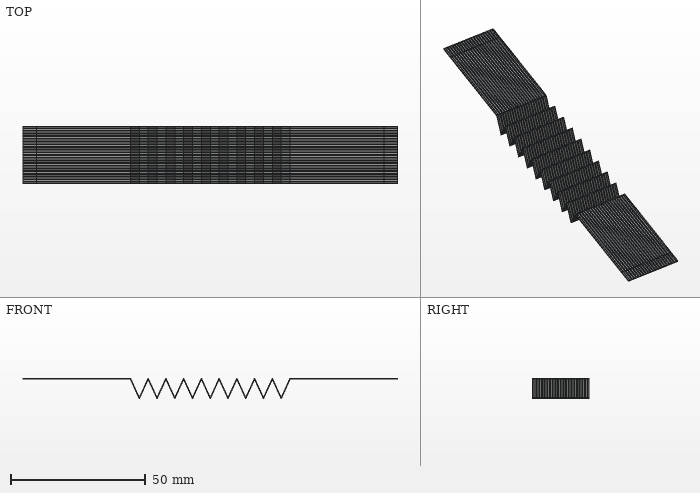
import cadquery as cq

LENGTH = 139.4
WIDTH = 21.0
HEIGHT = 7.5
THICKNESS = 0.32
FLAT_LENGTH = 40.0
FOLD_COUNT = 9

COVER_THICKNESS = 0.05
STRIPPED_LENGTH = 5.0

TRACK_COUNT = 20
TRACK_DEPTH = 0.05
TRACK_WIDTH = 0.7
TRACK_PITCH = WIDTH / (TRACK_COUNT + 1)

FOLD_DEPTH = HEIGHT - THICKNESS
HALF_FOLD = (LENGTH - 2 * FLAT_LENGTH) / (2 * FOLD_COUNT)


def folded_line(depth):
    """Points of the cable's path in XZ, lowered by `depth` below its top surface."""
    points = [(-LENGTH / 2, -depth)]
    for i in range(2 * FOLD_COUNT + 1):
        x = -LENGTH / 2 + FLAT_LENGTH + i * HALF_FOLD
        drop = FOLD_DEPTH if i % 2 else 0
        points.append((x, -drop - depth))
    points.append((LENGTH / 2, -depth))
    return points


def folded_layer(top_depth, bottom_depth, width, y=0):
    """Layer of the folded cable between two depths, centred on `y`."""
    outline = folded_line(top_depth) + folded_line(bottom_depth)[::-1]
    return (
        cq.Workplane("XZ", origin=(0, y, 0))
        .polyline(outline)
        .close()
        .extrude(width / 2, both=True)
    )


def stripped_end(side):
    """Cover removed from one end, down to the tops of the tracks; `side` is -1 or 1."""
    x = side * (LENGTH - STRIPPED_LENGTH) / 2
    return (
        cq.Workplane("XY")
        .box(STRIPPED_LENGTH, WIDTH, COVER_THICKNESS)
        .translate((x, 0, -COVER_THICKNESS / 2))
    )


cable = folded_layer(0, THICKNESS, WIDTH)

for side in (-1, 1):
    cable = cable.cut(stripped_end(side))

for i in range(TRACK_COUNT):
    track_y = (i - (TRACK_COUNT - 1) / 2) * TRACK_PITCH
    track = folded_layer(COVER_THICKNESS, COVER_THICKNESS + TRACK_DEPTH, TRACK_WIDTH, track_y)
    cable = cable.cut(track)

result = cable